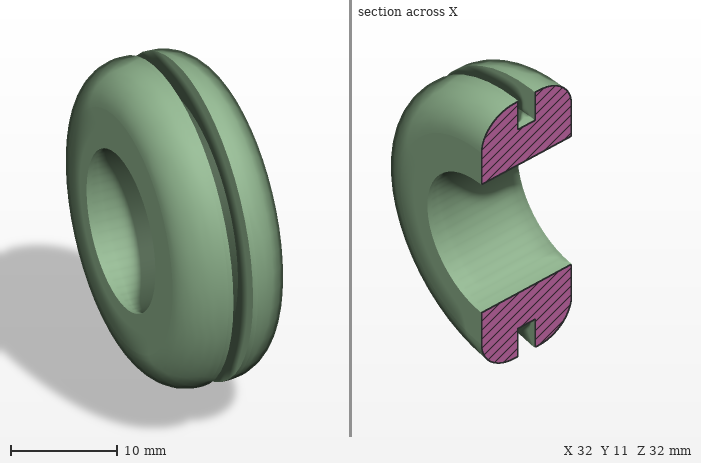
import cadquery as cq

outer_diameter = 32.0
bore_diameter = 16.0
groove_diameter = 25.0
total_width = 11.0
groove_width = 2.0
rounding_radius = 4.0


def disc(diameter, width):
    """Disc around the Y axis, centred on the origin."""
    return cq.Workplane("XZ", origin=(0, width / 2, 0)).circle(diameter / 2).extrude(width)


body = disc(outer_diameter, total_width).faces("<Y or >Y").edges().fillet(rounding_radius)

bore = disc(bore_diameter, total_width)

groove = disc(outer_diameter, groove_width).cut(disc(groove_diameter, groove_width))

result = body.cut(bore).cut(groove)